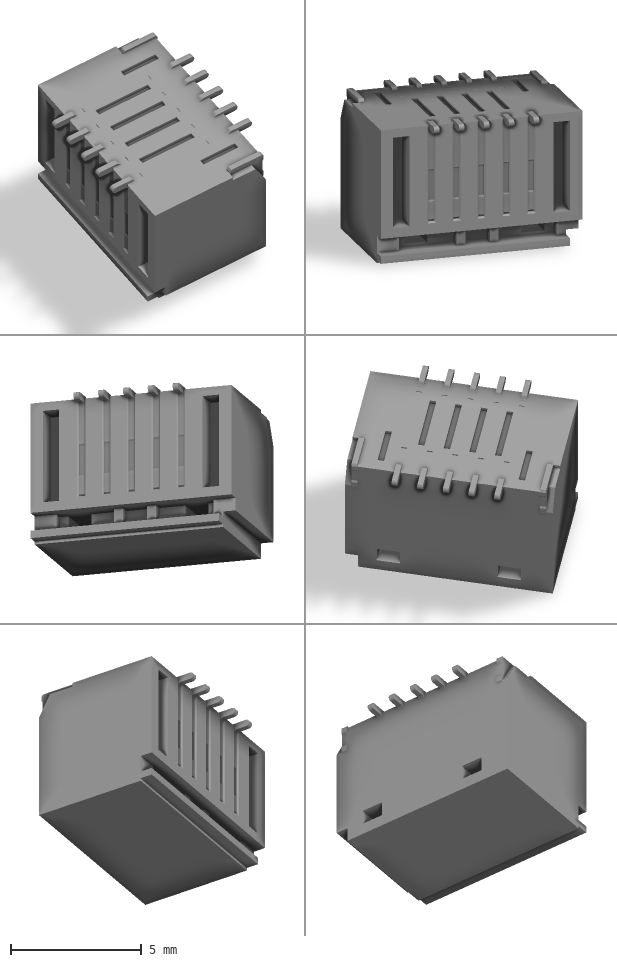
import cadquery as cq
import math

length = 8.1
half_length = length / 2
height = 5.475
wall_front = -2.55
housing_back = 2.55

undercut_back = -2.05
undercut_top = 1.12
flange_bottom = 0.11
flange_top = 0.41
opening_depth = 0.405
openings = [(-3.17, -0.84), (-0.49, 0.49), (0.84, 3.17)]
window_inner = 1.895
window_outer = 2.82
window_bottom = 0.495

key_width = 0.5
key_height = 0.615

front_pocket_x = 3.22
front_pocket_width = 0.665
front_pocket_bottom = 1.5
front_pocket_top = 5.135
front_pocket_depth = 0.97
slot_depth = 0.16
slot_width = 0.25
centre_slot_shift = -0.11
centre_slot_front = -1.44
centre_slot_back = 0.955
side_slot_x = 2.745
side_slot_front = 0.47
side_slot_back = 2.06

pitch = 1.0
contact_count = 5
contact_width = 0.22
contact_xs = [(i - (contact_count - 1) / 2) * pitch for i in range(contact_count)]
tail_thickness = 0.28
tail_top = 5.6
tail_bottom = tail_top - tail_thickness
tail_tip = 3.2
tail_fillet = 0.13
bend_run = 0.24
front_bend_start = 2.365
back_bend_start = 2.29

groove_mouth = 0.33
groove_depth = 0.06
groove_bottom = 1.555
contact_bottom = 1.62
contact_nose_height = 0.07
contact_nose_depth = 0.08
relief_bottom = 2.41
relief_top = 3.7
relief_ramp = 0.06
relief_depth = 0.03

slit_depth = 0.04
front_slit_y = -1.82
front_slit_width = 0.03
back_slit_y = 1.23
back_slit_width = 0.065

hook_x = 3.68
hook_width = 0.23
hook_front = 1.06
hook_back = 2.61
hook_chamfer_run = 0.07
hook_chamfer_break_run = 0.03
hook_chamfer_break_drop = 0.06
hook_corner = 0.08
hook_neck_top = 5.24
hook_neck_bottom = 4.71
hook_bump_top = 4.64
hook_bump_bottom = 4.39
hook_bottom = 4.34
corner_front = 1.04
corner_slope_top_y = 2.06
corner_slope_bottom = 4.415


def box(x0, x1, y0, y1, z0, z1):
    return cq.Workplane("XY").box(x1 - x0, y1 - y0, z1 - z0, centered=False).translate((x0, y0, z0))


def plate(profile, x_centre, width):
    """Extrude a closed YZ profile equally to both sides of x_centre."""
    return profile.extrude(width / 2, both=True).translate((x_centre, 0, 0))


def yz_polygon(points):
    return cq.Workplane("YZ").polyline(points).close()


def housing():
    body = plate(
        yz_polygon([
            (wall_front, height),
            (housing_back, height),
            (housing_back, 0),
            (undercut_back, 0),
            (undercut_back, flange_bottom),
            (wall_front, flange_bottom),
            (wall_front, flange_top),
            (undercut_back, flange_top),
            (undercut_back, undercut_top),
            (wall_front, undercut_top),
        ]),
        0,
        length,
    )
    body = body.cut(box(half_length - key_width, half_length, wall_front, housing_back, 0, key_height))
    for x0, x1 in openings:
        opening_back = undercut_back + opening_depth
        body = body.cut(box(x0, x1, undercut_back, opening_back, flange_top, undercut_top))
    for x0, x1 in [(-window_outer, -window_inner), (window_inner, window_outer)]:
        body = body.cut(box(x0, x1, undercut_back, housing_back, window_bottom, undercut_top))
    return body


def front_pocket(x):
    return box(
        x - front_pocket_width / 2, x + front_pocket_width / 2,
        wall_front, wall_front + front_pocket_depth,
        front_pocket_bottom, front_pocket_top,
    )


def top_slot(x, y0, y1):
    return box(x - slot_width / 2, x + slot_width / 2, y0, y1, height - slot_depth, height)


def hook_corner_cut(side):
    """Ledge with a sloped outer end beside each hook, open to the end face."""
    inner_x = hook_x - hook_width / 2
    profile = yz_polygon([
        (corner_front, height),
        (corner_front, tail_bottom),
        (corner_slope_top_y, tail_bottom),
        (housing_back, corner_slope_bottom),
        (housing_back, height),
    ])
    return plate(profile, side * (inner_x + half_length) / 2, half_length - inner_x)


def hook(side):
    profile = yz_polygon([
        (hook_front, tail_bottom),
        (hook_front, height),
        (hook_front + hook_chamfer_break_run, tail_top - hook_chamfer_break_drop),
        (hook_front + hook_chamfer_run, tail_top),
        (hook_back - hook_corner, tail_top),
        (hook_back, tail_top - hook_corner),
        (hook_back, tail_bottom),
        (housing_back, hook_neck_top),
        (housing_back, hook_neck_bottom),
        (hook_back, hook_bump_top),
        (hook_back, hook_bump_bottom),
        (housing_back, hook_bottom),
        (corner_slope_top_y, hook_bottom),
        (corner_slope_top_y, tail_bottom),
    ])
    return plate(profile, side * hook_x, hook_width)


def groove(x):
    """Groove open at the top, narrowing from its mouth to the contact's face."""
    floor_y = wall_front + groove_depth
    cutter = (
        cq.Workplane("XZ", origin=(x, wall_front, 0))
        .center(0, (groove_bottom + height) / 2)
        .rect(groove_mouth, height - groove_bottom)
        .workplane(offset=-groove_depth)
        .center(0, (contact_bottom - groove_bottom) / 2)
        .rect(contact_width, height - contact_bottom)
        .loft(ruled=True)
    )
    nose = yz_polygon([
        (floor_y, contact_bottom),
        (floor_y + contact_nose_depth, contact_bottom),
        (floor_y, contact_bottom + contact_nose_height),
    ])
    relief = yz_polygon([
        (floor_y, relief_bottom),
        (floor_y + relief_depth, relief_bottom + relief_ramp),
        (floor_y + relief_depth, relief_top - relief_ramp),
        (floor_y, relief_top),
    ])
    return cutter.union(plate(nose, x, contact_width)).union(plate(relief, x, contact_width))


def tail(x, direction, bend_start, root):
    """Round-ended solder tail; direction is -1 toward the front and 1 toward the back."""
    radius = tail_thickness / 2
    mid_z = tail_top - radius
    drop = tail_top - height
    bend_radius = ((bend_run / 2) ** 2 + (drop / 2) ** 2) / drop
    half_sag = bend_radius - math.sqrt(bend_radius ** 2 - (bend_run / 4) ** 2)
    fillet_mid = tail_fillet * (1 - math.sqrt(0.5))

    def at(distance, z):
        return (direction * distance, z)

    profile = (
        cq.Workplane("YZ")
        .moveTo(*at(bend_start - bend_run, height))
        .threePointArc(
            at(bend_start - 0.75 * bend_run, height + half_sag),
            at(bend_start - 0.5 * bend_run, height + drop / 2),
        )
        .threePointArc(at(bend_start - 0.25 * bend_run, tail_top - half_sag), at(bend_start, tail_top))
        .lineTo(*at(tail_tip - radius, tail_top))
        .threePointArc(at(tail_tip, mid_z), at(tail_tip - radius, tail_bottom))
        .lineTo(*at(root + tail_fillet, tail_bottom))
        .threePointArc(
            at(root + fillet_mid, tail_bottom - fillet_mid),
            at(root, tail_bottom - tail_fillet),
        )
        .lineTo(*at(bend_start - bend_run, tail_bottom - tail_fillet))
        .close()
    )
    return plate(profile, x, contact_width)


def front_slit(x):
    half = front_slit_width / 2
    return box(
        x - contact_width / 2, x + contact_width / 2,
        front_slit_y - half, front_slit_y + half,
        height - slit_depth, height,
    )


def back_slit(x):
    """Slit whose floor slopes down toward the front."""
    half = back_slit_width / 2
    profile = yz_polygon([
        (back_slit_y + half, height),
        (back_slit_y - half, height),
        (back_slit_y - half, height - slit_depth),
    ])
    return plate(profile, x, contact_width)


result = housing()

for side in (-1, 1):
    result = result.cut(front_pocket(side * front_pocket_x))
    result = result.cut(top_slot(side * side_slot_x, side_slot_front, side_slot_back))
    result = result.cut(hook_corner_cut(side))
    result = result.union(hook(side))

for left_x, right_x in zip(contact_xs, contact_xs[1:]):
    slot_x = (left_x + right_x) / 2 + centre_slot_shift
    result = result.cut(top_slot(slot_x, centre_slot_front, centre_slot_back))

for x in contact_xs:
    result = result.cut(groove(x)).cut(front_slit(x)).cut(back_slit(x))
    result = result.union(tail(x, -1, front_bend_start, -wall_front - groove_depth))
    result = result.union(tail(x, 1, back_bend_start, housing_back))